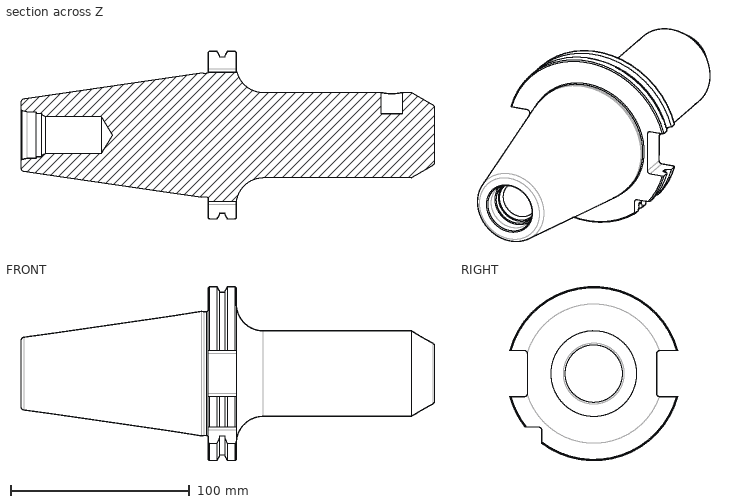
import cadquery as cq
import math

SHANK_LENGTH = 101.6
NOSE_X = 130.0

TAPER_END_RADIUS = 69.85 / 2
TAPER_SLOPE = 7 / 24 / 2
SHANK_END_FILLET = 2.0

TAPER_END = -0.6
RELIEF_FLOOR_START = 0.9
RELIEF_FLOOR_END = 2.3
RELIEF_DEPTH = 0.2
FLANGE_ROOT_RADIUS = 35.2

FLANGE_START = 3.175
FLANGE_END = 19.05
FLANGE_RADIUS = 97.5 / 2
FLANGE_CHAMFER = 0.7
GROOVE_CENTER_X = 11.1
GROOVE_FLOOR_RADIUS = 91.25 / 2
GROOVE_FLOOR_WIDTH = 3.0
GROOVE_MOUTH_WIDTH = 5.8
GROOVE_FLANK_ANGLE = 30.0

SLOT_WIDTH = 25.7
SLOT_FLOOR_PLUS_Y = 35.3
SLOT_FLOOR_MINUS_Y = 37.2
CUT_CORNER_RADIUS = 1.6
NOTCH_WALL_Y = -29.2
NOTCH_TOP_Z = -30.0
CUT_OVERSHOOT = 10.0

NOSE_RADIUS = 24.0
BLEND_RADIUS = 15.0
NOSE_CONE_START = 117.0
NOSE_CONE_ANGLE = 30.0
NOSE_END_CHAMFER = 1.0

SCREW_HOLE_X = 106.0
SCREW_HOLE_DIAMETER = 12.0
SCREW_HOLE_DEPTH = 12.0

MOUTH_RADIUS = 14.2
MOUTH_CHAMFER = 0.6
MOUTH_CONE_DEPTH = 3.5
PILOT_RADIUS = 12.9
PILOT_DEPTH = 8.6
THREAD_RADIUS = 12.1
THREAD_DEPTH = 11.6
THREAD_STEP_RADIUS = 11.4
THREAD_CONE_DEPTH = 13.9
DRILL_RADIUS = 10.2
DRILL_DEPTH = 45.0
DRILL_TIP_HALF_ANGLE = 59.0


def revolve_about_x(profile):
    """Revolve a closed (x, radius) profile a full turn about the X axis."""
    return profile.close().revolve(360, (0, 0, 0), (1, 0, 0))


def make_shank():
    """Taper shank with a rounded small end and a shallow relief below the flange."""
    end_radius = TAPER_END_RADIUS - (SHANK_LENGTH + TAPER_END) * TAPER_SLOPE
    relief_radius = TAPER_END_RADIUS - RELIEF_DEPTH
    shank = revolve_about_x(
        cq.Workplane("XY")
        .moveTo(-SHANK_LENGTH, 0)
        .lineTo(-SHANK_LENGTH, end_radius)
        .lineTo(TAPER_END, TAPER_END_RADIUS)
        .lineTo(RELIEF_FLOOR_START, relief_radius)
        .lineTo(RELIEF_FLOOR_END, relief_radius)
        .lineTo(FLANGE_START, FLANGE_ROOT_RADIUS)
        .lineTo(FLANGE_START, 0)
    )
    return shank.faces("<X").edges().fillet(SHANK_END_FILLET)


def make_flange_and_nose():
    """V-grooved flange that sweeps through a concave blend into the nose."""
    rim_radius = FLANGE_RADIUS - FLANGE_CHAMFER
    floor_half = GROOVE_FLOOR_WIDTH / 2
    mouth_half = GROOVE_MOUTH_WIDTH / 2
    flank_depth = (mouth_half - floor_half) / math.tan(math.radians(GROOVE_FLANK_ANGLE))
    flank_foot_radius = FLANGE_RADIUS - flank_depth
    blend_mid = BLEND_RADIUS * (1 - math.sqrt(0.5))
    cone_length = NOSE_X - NOSE_END_CHAMFER - NOSE_CONE_START
    tip_radius = NOSE_RADIUS - cone_length * math.tan(math.radians(NOSE_CONE_ANGLE))
    return revolve_about_x(
        cq.Workplane("XY")
        .moveTo(FLANGE_START, 0)
        .lineTo(FLANGE_START, rim_radius)
        .lineTo(FLANGE_START + FLANGE_CHAMFER, FLANGE_RADIUS)
        .lineTo(GROOVE_CENTER_X - mouth_half, FLANGE_RADIUS)
        .lineTo(GROOVE_CENTER_X - floor_half, flank_foot_radius)
        .lineTo(GROOVE_CENTER_X - floor_half, GROOVE_FLOOR_RADIUS)
        .lineTo(GROOVE_CENTER_X + floor_half, GROOVE_FLOOR_RADIUS)
        .lineTo(GROOVE_CENTER_X + floor_half, flank_foot_radius)
        .lineTo(GROOVE_CENTER_X + mouth_half, FLANGE_RADIUS)
        .lineTo(FLANGE_END - FLANGE_CHAMFER, FLANGE_RADIUS)
        .lineTo(FLANGE_END, rim_radius)
        .lineTo(FLANGE_END, NOSE_RADIUS + BLEND_RADIUS)
        .threePointArc(
            (FLANGE_END + blend_mid, NOSE_RADIUS + blend_mid),
            (FLANGE_END + BLEND_RADIUS, NOSE_RADIUS),
        )
        .lineTo(NOSE_CONE_START, NOSE_RADIUS)
        .lineTo(NOSE_X - NOSE_END_CHAMFER, tip_radius)
        .lineTo(NOSE_X, tip_radius - NOSE_END_CHAMFER)
        .lineTo(NOSE_X, 0)
    )


def make_flange_cutter(y_range, z_range):
    """Block crossing the flange along X, with its X-parallel edges rounded."""
    x_length = FLANGE_END + BLEND_RADIUS - FLANGE_START
    block = cq.Workplane("XY").box(
        x_length, y_range[1] - y_range[0], z_range[1] - z_range[0], centered=False
    )
    return block.edges("|X").fillet(CUT_CORNER_RADIUS).translate((FLANGE_START, y_range[0], z_range[0]))


def cut_flange_openings(body):
    """Two drive slots of unequal depth, and the orientation notch."""
    outside = FLANGE_RADIUS + CUT_OVERSHOOT
    slot_z = (-SLOT_WIDTH / 2, SLOT_WIDTH / 2)
    plus_slot = make_flange_cutter((SLOT_FLOOR_PLUS_Y, outside), slot_z)
    minus_slot = make_flange_cutter((-outside, -SLOT_FLOOR_MINUS_Y), slot_z)
    notch = make_flange_cutter((-outside, NOTCH_WALL_Y), (-outside, NOTCH_TOP_Z))
    return body.cut(plus_slot).cut(minus_slot).cut(notch)


def make_stud_bore():
    """Stepped, conical-bottomed bore for the pull stud."""
    entry_radius = MOUTH_RADIUS - MOUTH_CHAMFER
    tip_depth = DRILL_DEPTH + DRILL_RADIUS / math.tan(math.radians(DRILL_TIP_HALF_ANGLE))
    bore = revolve_about_x(
        cq.Workplane("XY")
        .lineTo(0, MOUTH_RADIUS)
        .lineTo(MOUTH_CHAMFER, entry_radius)
        .lineTo(MOUTH_CONE_DEPTH, PILOT_RADIUS)
        .lineTo(PILOT_DEPTH, PILOT_RADIUS)
        .lineTo(PILOT_DEPTH, THREAD_RADIUS)
        .lineTo(THREAD_DEPTH, THREAD_RADIUS)
        .lineTo(THREAD_DEPTH, THREAD_STEP_RADIUS)
        .lineTo(THREAD_CONE_DEPTH, DRILL_RADIUS)
        .lineTo(DRILL_DEPTH, DRILL_RADIUS)
        .lineTo(tip_depth, 0)
    )
    return bore.translate((-SHANK_LENGTH, 0, 0))


def make_screw_hole():
    """Blind radial hole entering the nose from +Y."""
    hole = cq.Solid.makeCylinder(
        SCREW_HOLE_DIAMETER / 2,
        SCREW_HOLE_DEPTH,
        cq.Vector(SCREW_HOLE_X, NOSE_RADIUS, 0),
        cq.Vector(0, -1, 0),
    )
    return cq.Workplane(obj=hole)


body = make_shank().union(make_flange_and_nose())
body = cut_flange_openings(body)
result = body.cut(make_stud_bore()).cut(make_screw_hole())